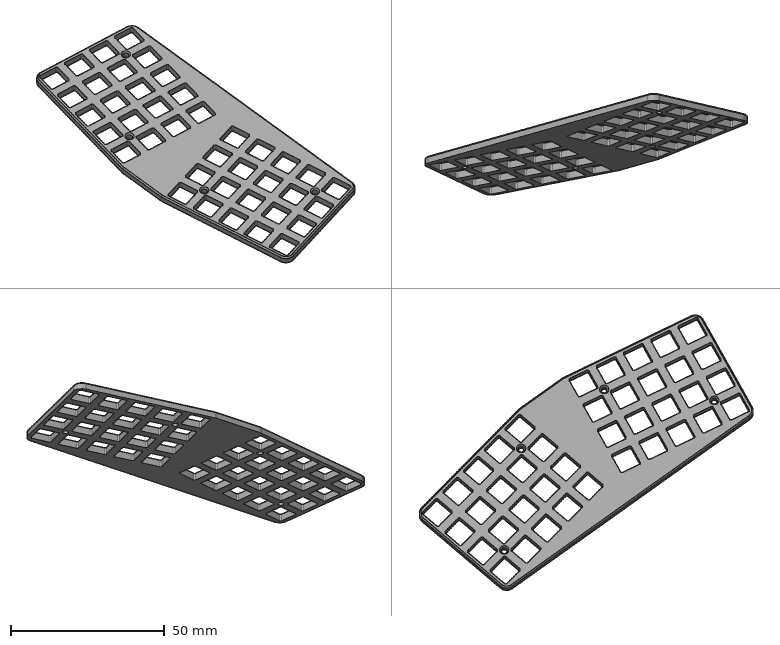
import cadquery as cq
import math


plate_depth = 48.07
plate_thickness = 2.5
corner_radius = 3.0
edge_chamfer = 0.5

columns = 5
rows = 4
key_pitch = 10.0
opening_size = 7.2
opening_corner_radius = 0.5
block_tilt = 10.0
block_center_x = 30.0625
block_center_y = 0.0

screw_hole_diameter = 2.0
screw_countersink_depth = 0.5
screw_countersink_angle = 90
screw_positions = [
    (-1.5 * key_pitch, key_pitch),
    (1.5 * key_pitch, -key_pitch),
]

block_width = columns * key_pitch
block_depth = rows * key_pitch
back_y = plate_depth / 2
front_y = -plate_depth / 2
tilt = math.radians(block_tilt)
screw_countersink_slope = math.tan(math.radians(screw_countersink_angle / 2))
screw_countersink_diameter = screw_hole_diameter + 2 * screw_countersink_depth * screw_countersink_slope


def left_block_to_plate(u, v):
    """Turn a point in the left block's axes into plate X and Y."""
    x = -block_center_x + u * math.cos(tilt) + v * math.sin(tilt)
    y = block_center_y - u * math.sin(tilt) + v * math.cos(tilt)
    return x, y


def mirrored(points):
    """Reflect points across the symmetry plane and reverse their order."""
    return [(-x, y) for x, y in reversed(points)]


def make_plate():
    """Rounded six-sided plate with a chamfer around its top edge."""
    outer_x, outer_y = left_block_to_plate(-block_width / 2, -block_depth / 2)
    back_x = outer_x + (back_y - outer_y) * math.tan(tilt)
    front_x = outer_x + (outer_y - front_y) / math.tan(tilt)
    left_side = [(back_x, back_y), (outer_x, outer_y), (front_x, front_y)]
    return (
        cq.Workplane("XY")
        .polyline(left_side + mirrored(left_side))
        .close()
        .extrude(plate_thickness)
        .edges("|Z")
        .fillet(corner_radius)
        .faces(">Z")
        .edges()
        .chamfer(edge_chamfer)
    )


def make_left_openings():
    """Cutters for the key openings of the left block."""
    return (
        cq.Workplane("XY")
        .rarray(key_pitch, key_pitch, columns, rows)
        .rect(opening_size, opening_size)
        .extrude(plate_thickness)
        .edges("|Z")
        .fillet(opening_corner_radius)
        .rotate((0, 0, 0), (0, 0, 1), -block_tilt)
        .translate((-block_center_x, block_center_y, 0))
    )


def drill_screw_holes(plate):
    """Countersunk through holes in both blocks."""
    left_holes = [left_block_to_plate(u, v) for u, v in screw_positions]
    return (
        plate.faces(">Z")
        .workplane(origin=(0, 0, 0))
        .pushPoints(left_holes + mirrored(left_holes))
        .cskHole(screw_hole_diameter, screw_countersink_diameter, screw_countersink_angle)
    )


left_openings = make_left_openings()
drilled_plate = drill_screw_holes(make_plate())
result = drilled_plate.cut(left_openings).cut(left_openings.mirror("YZ")).solids()